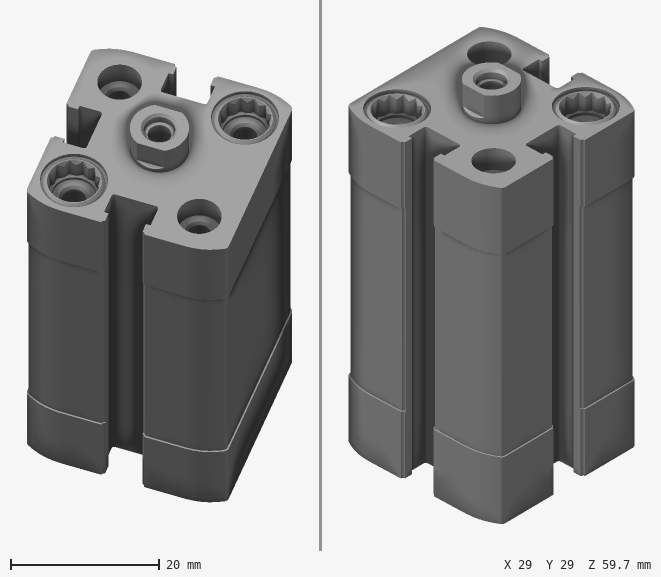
import cadquery as cq
import math

WIDTH = 29.0
TOTAL_HEIGHT = 59.7
ROD_EXTENSION = 4.65
HOUSING_HEIGHT = TOTAL_HEIGHT - ROD_EXTENSION
CAP_HEIGHT = 10.9
TUBE_INSET = 0.25

CORNER_RADIUS = 10.0
CORNER_START = 9.0
CORNER_BLEND = 0.8

SLOT_MOUTH_WIDTH = 5.4
SLOT_INNER_WIDTH = 6.7
SLOT_DEPTH = 5.15
SLOT_LIP = 1.8
SLOT_ROUNDING = 0.4

HOLE_OFFSET = CORNER_START
THROUGH_DIAMETER = 3.2
COUNTERSINK_DIAMETER = 4.0
COUNTERBORE_DIAMETER = 6.0
COUNTERBORE_DEPTH = 3.6

RING_BORE_DIAMETER = 9.2
RING_OUTER_DIAMETER = 8.5
RING_RIDGE_DIAMETER = 7.5
RING_GROOVE_DEPTH = 0.6
RING_TOP_DEPTH = 0.1
SOCKET_CORNER_DIAMETER = 7.3
SOCKET_DEPTH = 3.1
LEAD_IN_DEPTH = 1.1

ROD_DIAMETER = 8.0
ROD_FLATS = 7.0
FLAT_LENGTH = 3.7
FLAT_RUNOUT = 0.3
ROD_INSERTION = CAP_HEIGHT
ROD_MOUTH_DIAMETER = 5.1
ROD_BORE_DIAMETER = 4.3
ROD_BORE_DEPTH = 1.45
ROD_DRILL_DIAMETER = 3.2
ROD_DRILL_DEPTH = 7.15
DRILL_POINT_ANGLE = 118.0


def cylinder(diameter, bottom, top):
    return cq.Workplane("XY").workplane(offset=bottom).circle(diameter / 2).extrude(top - bottom)


def cone(bottom_diameter, top_diameter, bottom, top):
    return cq.Workplane(
        cq.Solid.makeCone(bottom_diameter / 2, top_diameter / 2, top - bottom, pnt=cq.Vector(0, 0, bottom))
    )


def corner_prism(inset, bottom, top):
    """Square prism with large corner arcs, each blended into the X side by a small arc."""
    side = WIDTH / 2 - inset
    large = CORNER_RADIUS - inset
    small = CORNER_BLEND - inset
    large_y = side - large
    small_x = side - small
    small_y = large_y + math.sqrt((large - small) ** 2 - (small_x - CORNER_START) ** 2)
    join_angle = math.atan2(small_y - large_y, small_x - CORNER_START)

    def on_large(angle):
        return CORNER_START + large * math.cos(angle), large_y + large * math.sin(angle)

    def on_small(angle):
        return small_x + small * math.cos(angle), small_y + small * math.sin(angle)

    quadrant = (
        cq.Workplane("XY")
        .workplane(offset=bottom)
        .lineTo(side, 0)
        .lineTo(*on_small(0))
        .threePointArc(on_small(join_angle / 2), on_small(join_angle))
        .threePointArc(on_large((join_angle + math.pi / 2) / 2), on_large(math.pi / 2))
        .lineTo(0, side)
        .close()
        .extrude(top - bottom)
    )
    half = quadrant.union(quadrant.mirror("YZ"))
    return half.union(half.mirror("XZ")).clean()


def slot_cutter(inset, bottom, top):
    """T-slot cutter for the -X side, with rounded mouth edges and floor corners."""
    face = -WIDTH / 2 + inset
    lip_end = -WIDTH / 2 + SLOT_LIP
    floor = -WIDTH / 2 + SLOT_DEPTH
    mouth = SLOT_MOUTH_WIDTH / 2
    inner = SLOT_INNER_WIDTH / 2
    rounding = SLOT_ROUNDING
    half = (
        cq.Workplane("XY")
        .workplane(offset=bottom)
        .moveTo(face, 0)
        .lineTo(face, mouth + rounding)
        .radiusArc((face + rounding, mouth), rounding)
        .lineTo(lip_end, mouth)
        .lineTo(lip_end, inner)
        .lineTo(floor - rounding, inner)
        .radiusArc((floor, inner - rounding), rounding)
        .lineTo(floor, 0)
        .close()
        .extrude(top - bottom)
    )
    return half.union(half.mirror("XZ"))


def housing_section(inset, bottom, top):
    section = corner_prism(inset, bottom, top)
    cutter = slot_cutter(inset, bottom, top)
    for angle in (-90, 0, 90):
        section = section.cut(cutter.rotate((0, 0, 0), (0, 0, 1), angle))
    return section


def stepped_hole():
    """Counterbored through hole, countersunk at the counterbore floor."""
    floor = HOUSING_HEIGHT - COUNTERBORE_DEPTH
    countersink_depth = (COUNTERSINK_DIAMETER - THROUGH_DIAMETER) / 2
    countersink = cone(THROUGH_DIAMETER, COUNTERSINK_DIAMETER, floor - countersink_depth, floor)
    counterbore = cylinder(COUNTERBORE_DIAMETER, floor, HOUSING_HEIGHT)
    return cylinder(THROUGH_DIAMETER, 0, floor).union(countersink).union(counterbore)


def socket_cutter():
    """Groove around a bevelled ring, and a twelve-point socket inside the ring."""
    groove_floor = HOUSING_HEIGHT - RING_GROOVE_DEPTH
    ring_top = HOUSING_HEIGHT - RING_TOP_DEPTH
    ring = cone(RING_OUTER_DIAMETER, RING_RIDGE_DIAMETER, groove_floor, ring_top)
    cutter = cylinder(RING_BORE_DIAMETER, groove_floor, HOUSING_HEIGHT).cut(ring)
    for angle in (0, 30):
        hexagon = (
            cq.Workplane("XY")
            .workplane(offset=HOUSING_HEIGHT - SOCKET_DEPTH)
            .polygon(6, SOCKET_CORNER_DIAMETER)
            .extrude(SOCKET_DEPTH)
            .rotate((0, 0, 0), (0, 0, 1), angle)
        )
        cutter = cutter.union(hexagon)
    lead_in = cone(COUNTERBORE_DIAMETER, SOCKET_CORNER_DIAMETER, ring_top - LEAD_IN_DEPTH, ring_top)
    return cutter.union(lead_in)


def make_housing():
    upper_cap_bottom = HOUSING_HEIGHT - CAP_HEIGHT
    housing = (
        housing_section(0, 0, CAP_HEIGHT)
        .union(housing_section(TUBE_INSET, CAP_HEIGHT, upper_cap_bottom))
        .union(housing_section(0, upper_cap_bottom, HOUSING_HEIGHT))
    )

    plain_hole = stepped_hole()
    socket_hole = plain_hole.union(socket_cutter())
    for side in (-1, 1):
        housing = housing.cut(plain_hole.translate((side * HOLE_OFFSET, -side * HOLE_OFFSET, 0)))
        housing = housing.cut(socket_hole.translate((side * HOLE_OFFSET, side * HOLE_OFFSET, 0)))

    return housing.cut(cylinder(ROD_DIAMETER, HOUSING_HEIGHT - ROD_INSERTION, HOUSING_HEIGHT))


def rod_flat_cutter():
    """Wrench flat on the -Y side of the rod, with a sloped end."""
    flat_bottom = TOTAL_HEIGHT - FLAT_LENGTH
    return (
        cq.Workplane("YZ")
        .moveTo(-ROD_FLATS / 2, TOTAL_HEIGHT)
        .lineTo(-ROD_FLATS / 2, flat_bottom)
        .lineTo(-ROD_DIAMETER / 2, flat_bottom - FLAT_RUNOUT)
        .lineTo(-ROD_DIAMETER / 2, TOTAL_HEIGHT)
        .close()
        .extrude(ROD_DIAMETER / 2, both=True)
    )


def rod_hole():
    """Chamfered bore, stepping down to a drilled hole with a conical end."""
    top = TOTAL_HEIGHT
    chamfer_depth = (ROD_MOUTH_DIAMETER - ROD_BORE_DIAMETER) / 2
    point_depth = ROD_DRILL_DIAMETER / 2 / math.tan(math.radians(DRILL_POINT_ANGLE / 2))
    drill_bottom = top - ROD_DRILL_DEPTH
    return (
        cylinder(ROD_DRILL_DIAMETER, drill_bottom, top)
        .union(cone(0, ROD_DRILL_DIAMETER, drill_bottom - point_depth, drill_bottom))
        .union(cylinder(ROD_BORE_DIAMETER, top - ROD_BORE_DEPTH, top))
        .union(cone(ROD_BORE_DIAMETER, ROD_MOUTH_DIAMETER, top - chamfer_depth, top))
    )


def make_rod():
    flat = rod_flat_cutter()
    return (
        cylinder(ROD_DIAMETER, HOUSING_HEIGHT - ROD_INSERTION, TOTAL_HEIGHT)
        .cut(flat)
        .cut(flat.mirror("XZ"))
        .cut(rod_hole())
    )


housing = make_housing()
rod = make_rod()
result = cq.Compound.makeCompound([housing.val(), rod.val()])